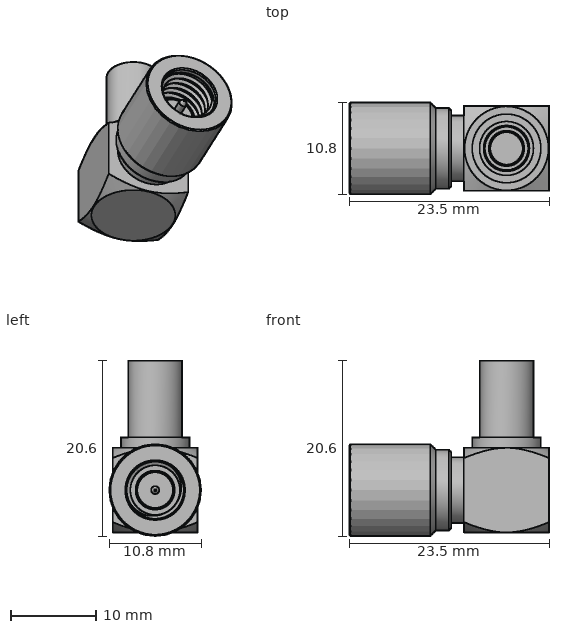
import cadquery as cq
import math


OVERALL_LENGTH = 23.5
BODY_SIZE = 10.0
BODY_HALF = BODY_SIZE / 2
BODY_FACE_X = OVERALL_LENGTH - BODY_SIZE
TUBE_X = OVERALL_LENGTH - BODY_HALF
TUBE_TOP_Z = 15.2

TUBE_RADIUS = 3.17
FLANGE_RADIUS = 4.05
FLANGE_TOP_Z = 6.2
TUBE_BORE_RADIUS = 2.54
TUBE_BORE_DEPTH = 3.55
TUBE_BORE_CHAMFER = 0.16
TUBE_BOSS_RADIUS = 2.1
TUBE_BOSS_HEIGHT = 0.19

CORNER_SLOPE = math.radians(30)
CORNER_START_RADIUS = 4.94

NUT_RADIUS = 5.4
NUT_FACETS = 28
NUT_FRONT_CHAMFER = 0.16
NUT_SHOULDER_X = 9.52
COLLAR_RADIUS = 4.77
COLLAR_START_X = 10.18
COLLAR_END_X = 12.0
COLLAR_CHAMFER = 0.3
NECK_RADIUS = 3.88

MOUTH_RADIUS = 3.35
MOUTH_DEPTH = 0.7
MOUTH_CHAMFER = 0.16
BORE_RADIUS = 2.91
BORE_DEPTH = 7.05
THREAD_PITCH = 0.99
THREAD_ROOT_RADIUS = 3.34
THREAD_ANGLE = math.radians(60)
THREAD_OPENING = 0.9
THREAD_TURNS = 6
THREAD_START_ANGLE = 138.0
THREAD_OVERLAP = 0.12

SLEEVE_RADIUS = 2.3
SLEEVE_FACE_X = 4.46
SLEEVE_BORE_RADIUS = 2.1
SLEEVE_RECESS = 0.059
PIN_RADIUS = 0.47
PIN_TIP_X = 1.65
PIN_FLAT_RADIUS = 0.13
PIN_TIP_LENGTH = 0.5


def turned_on_x(profile):
    """Revolve an (x, radius) outline about the X axis."""
    return cq.Workplane("XY").polyline(profile).close().revolve(360, (0, 0, 0), (1, 0, 0))


def turned_on_z(profile):
    """Revolve a (radius, z) outline about the axis of the cable tube."""
    outline = cq.Workplane("XZ").polyline(profile).close()
    return outline.revolve(360, (0, 0, 0), (0, 1, 0)).translate((TUBE_X, 0, 0))


def make_body():
    """Cube whose top and bottom corners are trimmed by 30 degree cones."""
    cube = cq.Workplane("XY").box(BODY_SIZE, BODY_SIZE, BODY_SIZE).translate((TUBE_X, 0, 0))
    reach = BODY_SIZE
    drop = (reach - CORNER_START_RADIUS) * math.tan(CORNER_SLOPE)
    trim = turned_on_z([
        (0, BODY_HALF),
        (CORNER_START_RADIUS, BODY_HALF),
        (reach, BODY_HALF - drop),
        (reach, drop - BODY_HALF),
        (CORNER_START_RADIUS, -BODY_HALF),
        (0, -BODY_HALF),
    ])
    return cube.intersect(trim)


def make_tube():
    """Flanged tube whose blind bore has a chamfered disc on its floor."""
    floor_z = TUBE_TOP_Z - TUBE_BORE_DEPTH
    boss_top_z = floor_z + TUBE_BOSS_HEIGHT
    return turned_on_z([
        (0, 0),
        (FLANGE_RADIUS, 0),
        (FLANGE_RADIUS, FLANGE_TOP_Z),
        (TUBE_RADIUS, FLANGE_TOP_Z),
        (TUBE_RADIUS, TUBE_TOP_Z),
        (TUBE_BORE_RADIUS + TUBE_BORE_CHAMFER, TUBE_TOP_Z),
        (TUBE_BORE_RADIUS, TUBE_TOP_Z - TUBE_BORE_CHAMFER),
        (TUBE_BORE_RADIUS, floor_z),
        (TUBE_BOSS_RADIUS, floor_z),
        (TUBE_BOSS_RADIUS - TUBE_BOSS_HEIGHT, boss_top_z),
        (0, boss_top_z),
    ])


def make_nut():
    """Faceted nut with its chamfered front edge and conical back."""
    envelope = turned_on_x([
        (0, 0),
        (0, NUT_RADIUS - NUT_FRONT_CHAMFER),
        (NUT_FRONT_CHAMFER, NUT_RADIUS),
        (NUT_SHOULDER_X, NUT_RADIUS),
        (COLLAR_START_X, COLLAR_RADIUS),
        (COLLAR_START_X, 0),
    ])
    facets = cq.Workplane("YZ").polygon(NUT_FACETS, 2 * NUT_RADIUS).extrude(COLLAR_START_X)
    return envelope.intersect(facets)


def make_collar_and_neck():
    """Round collar behind the nut and the neck that joins it to the body."""
    return turned_on_x([
        (COLLAR_START_X, 0),
        (COLLAR_START_X, COLLAR_RADIUS),
        (COLLAR_END_X - COLLAR_CHAMFER, COLLAR_RADIUS),
        (COLLAR_END_X, COLLAR_RADIUS - COLLAR_CHAMFER),
        (COLLAR_END_X, NECK_RADIUS),
        (BODY_FACE_X, NECK_RADIUS),
        (BODY_FACE_X, 0),
    ])


def make_bore():
    """Stepped round cavity of the nut."""
    return turned_on_x([
        (0, 0),
        (0, MOUTH_RADIUS + MOUTH_CHAMFER),
        (MOUTH_CHAMFER, MOUTH_RADIUS),
        (MOUTH_DEPTH, MOUTH_RADIUS),
        (MOUTH_DEPTH, BORE_RADIUS),
        (BORE_DEPTH, BORE_RADIUS),
        (BORE_DEPTH, 0),
    ])


def make_thread_groove():
    """Right-hand, flat-bottomed groove that enters through the shoulder behind the mouth."""
    flank_slope = math.tan(THREAD_ANGLE / 2)
    inner_radius = BORE_RADIUS - THREAD_OVERLAP
    inner_half_width = THREAD_OPENING / 2 + THREAD_OVERLAP * flank_slope
    root_half_width = THREAD_OPENING / 2 - (THREAD_ROOT_RADIUS - BORE_RADIUS) * flank_slope
    helix = cq.Wire.makeHelix(THREAD_PITCH, THREAD_PITCH * THREAD_TURNS, BORE_RADIUS)
    profile = cq.Workplane("XZ").polyline([
        (inner_radius, -inner_half_width),
        (THREAD_ROOT_RADIUS, -root_half_width),
        (THREAD_ROOT_RADIUS, root_half_width),
        (inner_radius, inner_half_width),
    ]).close()
    groove = profile.sweep(cq.Workplane(obj=helix), isFrenet=True)
    groove = groove.rotate((0, 0, 0), (0, 1, 0), 90)
    groove = groove.rotate((0, 0, 0), (1, 0, 0), THREAD_START_ANGLE)
    return groove.translate((MOUTH_DEPTH - THREAD_PITCH, 0, 0))


def make_contact():
    """Sleeve with a shallow recess in its face and the centre pin."""
    recess_x = SLEEVE_FACE_X + SLEEVE_RECESS
    return turned_on_x([
        (PIN_TIP_X, 0),
        (PIN_TIP_X, PIN_FLAT_RADIUS),
        (PIN_TIP_X + PIN_TIP_LENGTH, PIN_RADIUS),
        (recess_x, PIN_RADIUS),
        (recess_x, SLEEVE_BORE_RADIUS),
        (SLEEVE_FACE_X, SLEEVE_BORE_RADIUS + SLEEVE_RECESS),
        (SLEEVE_FACE_X, SLEEVE_RADIUS),
        (BORE_DEPTH, SLEEVE_RADIUS),
        (BORE_DEPTH, 0),
    ])


nut = make_nut().union(make_collar_and_neck())
nut = nut.cut(make_bore()).cut(make_thread_groove())
result = nut.union(make_contact()).union(make_body()).union(make_tube())